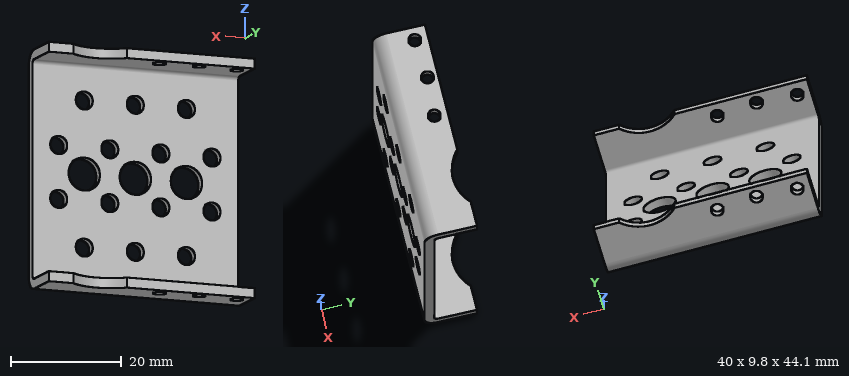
import cadquery as cq

length = 40.0
depth = 9.8
height = 44.1
thickness = 1.85
outer_radius = 2.6
inner_radius = outer_radius - thickness

hole_pitch = 9.92
small_hole_diameter = 3.25
large_hole_diameter = 6.05
outer_row_height = 13.55
inner_row_height = hole_pitch / 2

flange_hole_diameter = 2.3
flange_hole_pitch = 7.5
first_hole_inset = 2.5
end_hole_setback = 2.5
middle_hole_setback = 2.0

notch_center_x = 10.0
notch_width = 10.4
notch_depth = 2.07

free_edge_y = depth / 2


def make_channel():
    """Bent sheet with rounded outer and inner corners."""
    outside = (
        cq.Workplane("XY")
        .box(length, depth, height)
        .edges("|X and <Y")
        .fillet(outer_radius)
    )
    inside = (
        cq.Workplane("XY")
        .box(length, depth, height - 2 * thickness)
        .edges("|X and <Y")
        .fillet(inner_radius)
        .translate((0, thickness, 0))
    )
    return outside.cut(inside)


def web_holes(points, diameter):
    """Cylinders along Y through the web at the given (x, z) points."""
    return (
        cq.Workplane("XZ", origin=(0, free_edge_y, 0))
        .pushPoints(points)
        .circle(diameter / 2)
        .extrude(depth)
    )


def flange_holes():
    """Three cylinders along Z through both flanges."""
    first_x = -length / 2 + first_hole_inset
    setbacks = [end_hole_setback, middle_hole_setback, end_hole_setback]
    points = [
        (first_x + i * flange_hole_pitch, free_edge_y - setback)
        for i, setback in enumerate(setbacks)
    ]
    return (
        cq.Workplane("XY", origin=(0, 0, -height / 2))
        .pushPoints(points)
        .circle(flange_hole_diameter / 2)
        .extrude(height)
    )


def edge_notch():
    """Circular segment cut through the free edge of both flanges."""
    half_width = notch_width / 2
    return (
        cq.Workplane("XY", origin=(notch_center_x, free_edge_y, -height / 2))
        .moveTo(-half_width, 0)
        .threePointArc((0, -notch_depth), (half_width, 0))
        .close()
        .extrude(height)
    )


large_points = [(i * hole_pitch, 0) for i in (-1, 0, 1)]
small_points = []
for side in (-1, 1):
    small_points += [(i * hole_pitch, side * outer_row_height) for i in (-1, 0, 1)]
    small_points += [(i * hole_pitch, side * inner_row_height) for i in (-1.5, -0.5, 0.5, 1.5)]

result = (
    make_channel()
    .cut(web_holes(large_points, large_hole_diameter))
    .cut(web_holes(small_points, small_hole_diameter))
    .cut(flange_holes())
    .cut(edge_notch())
)